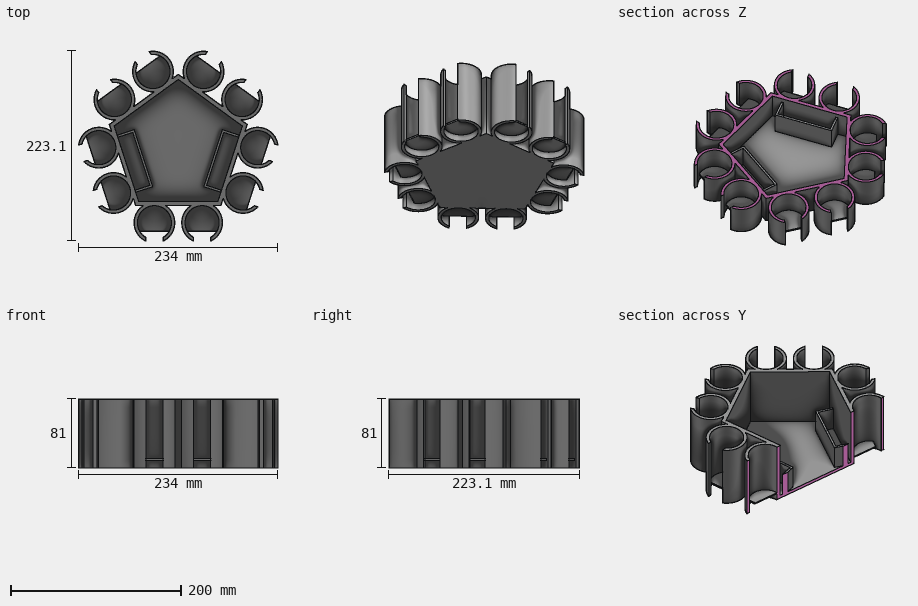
import cadquery as cq
import math

side_count = 5
side_length = 100.1
height = 81.0
wall = 5.0
floor_thickness = wall

bore_diameter = 40.0
tube_wall = 4.0
holder_spacing = 56.0
slot_width = 20.1
shelf_bottom = 9.1
shelf_thickness = 2.0
shelf_reach = slot_width / 2

box_length = 70.5
box_depth = 21.0
box_wall = 2.5
box_height = 30.0

step_angle = 360 / side_count
half_angle = math.pi / side_count
apothem = side_length / (2 * math.tan(half_angle))
inner_apothem = apothem - wall
box_top = floor_thickness + box_height
bore_radius = bore_diameter / 2
tube_radius = bore_radius + tube_wall
bore_center_y = -apothem - bore_radius
bore_centers = [(x, bore_center_y) for x in (-holder_spacing / 2, holder_spacing / 2)]


def pentagon(side_apothem, depth, base):
    """Pentagonal prism with one side facing -Y and a corner at +Y."""
    radius = side_apothem / math.cos(half_angle)
    corners = [
        (radius * math.sin(2 * half_angle * i), radius * math.cos(2 * half_angle * i))
        for i in range(side_count)
    ]
    return cq.Workplane("XY").workplane(offset=base).polyline(corners).close().extrude(depth)


def on_side(shape, index):
    """Turn a shape built at the -Y side onto another side, counting counterclockwise."""
    return shape.rotate((0, 0, 0), (0, 0, 1), index * step_angle)


def cylinders(radius, depth, base=0):
    """Upright cylinders on the two bore axes of the -Y side."""
    return cq.Workplane("XY").workplane(offset=base).pushPoints(bore_centers).circle(radius).extrude(depth)


def block(length, y_from, y_to, base, top):
    """Box centred on X, spanning the given Y and Z ranges."""
    return (
        cq.Workplane("XY", origin=(0, (y_from + y_to) / 2, base))
        .rect(length, y_to - y_from)
        .extrude(top - base)
    )


def bores_and_slots():
    """Through bores with slots that open them outward."""
    slot = block(slot_width, bore_center_y - 2 * tube_radius, bore_center_y, 0, height)
    cut = cylinders(bore_radius, height)
    for x, _ in bore_centers:
        cut = cut.union(slot.translate((x, 0, 0)))
    return cut


def shelves():
    """Round shelves in the bores, cut straight on the open side."""
    shelf_top = shelf_bottom + shelf_thickness
    discs = cylinders(bore_radius + tube_wall / 2, shelf_thickness, shelf_bottom)
    keep = block(2 * side_length, bore_center_y - shelf_reach, -inner_apothem, shelf_bottom, shelf_top)
    return discs.intersect(keep)


def compartment():
    """Open-topped three-walled box standing on the floor against a side."""
    face = -apothem + wall / 2
    front = -inner_apothem + box_depth
    outside = block(box_length, face, front, 0, box_top)
    inside = block(box_length - 2 * box_wall, -inner_apothem, front - box_wall, floor_thickness, box_top)
    return outside.cut(inside)


result = pentagon(apothem, height, 0)
for i in range(side_count):
    result = result.union(on_side(cylinders(tube_radius, height), i))

result = result.cut(pentagon(inner_apothem, height - floor_thickness, floor_thickness))
for i in range(side_count):
    result = result.cut(on_side(bores_and_slots(), i))
    result = result.union(on_side(shelves(), i))

for i in (1, side_count - 1):
    result = result.union(on_side(compartment(), i))